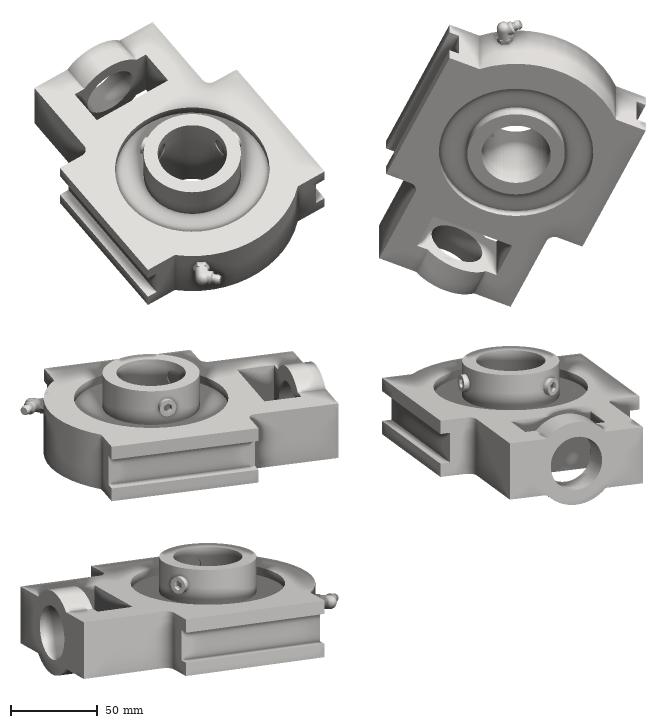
import cadquery as cq
import math


housing_height = 34.0
flange_length = 89.1
flange_width = 124.0
round_end_radius = 62.0
neck_end_x = -100.0
neck_width = 83.0
neck_fillet = 5.0

groove_width = 18.0
groove_depth = 6.0

boss_diameter = 50.0
boss_length = 17.0
boss_hole_diameter = 32.0
window_length = 22.5
window_width = 50.0

seat_diameter = 89.1
seat_recess_depth = 5.0
ring_diameter = 56.1
ring_bore_diameter = 40.0
ring_top_z = 33.0
ring_bottom_z = -19.0

set_screw_angles = (90.0, 210.0)
set_screw_diameter = 10.0
set_screw_z = 23.0
set_screw_outer_radius = 31.0
set_screw_tip_gap = 0.3
socket_across_flats = 5.0
socket_depth = 4.0

nipple_angle = -30.0
nipple_z = 7.0
nipple_hex_across_flats = 8.0
nipple_body_diameter = 8.0
nipple_hex_end_radius = 64.8
nipple_elbow_radius = 70.5
nipple_embedding = 3.0
spout_root_radius = 68.6
spout_angle = 37.5
spout_stem_diameter = 7.0
spout_collar_diameter = 7.6
spout_collar_start = 4.5
spout_collar_end = 5.7
spout_neck_diameter = 5.0
spout_neck_start = 6.5
spout_head_diameter = 5.8
spout_head_start = 8.8
spout_tip_diameter = 4.6
spout_length = 11.0


def radial_plane(angle, radius, z):
    """Plane facing outward from the Z axis at the given angle, radius and height."""
    direction = (math.cos(math.radians(angle)), math.sin(math.radians(angle)))
    origin = (radius * direction[0], radius * direction[1], z)
    tangent = (-direction[1], direction[0], 0)
    return cq.Plane(origin=origin, xDir=tangent, normal=(direction[0], direction[1], 0))


def hexagon_diameter(across_flats):
    """Circumscribed diameter of a regular hexagon."""
    return across_flats / math.cos(math.pi / 6)


def centred_block(length, width, height, x=0.0, y=0.0):
    return cq.Workplane("XY").box(length, width, height).translate((x, y, 0))


def make_housing_body():
    flange = centred_block(flange_length, flange_width, housing_height)
    neck = centred_block(-neck_end_x, neck_width, housing_height, x=neck_end_x / 2)
    plate = flange.union(neck)
    inner_corner_x = -flange_length / 2
    for side in (-1, 1):
        corner = cq.selectors.NearestToPointSelector((inner_corner_x, side * neck_width / 2, 0))
        plate = plate.edges("|Z").edges(corner).fillet(neck_fillet)

    disc = cq.Workplane("XY").circle(round_end_radius).extrude(housing_height / 2, both=True)
    front_half = centred_block(round_end_radius, flange_width, housing_height, x=round_end_radius / 2)
    return plate.union(disc.intersect(front_half))


def cut_guide_grooves(housing):
    for side in (-1, 1):
        groove_y = side * (flange_width - groove_depth) / 2
        housing = housing.cut(centred_block(flange_length, groove_depth, groove_width, y=groove_y))
    return housing


def add_screw_boss(housing):
    boss_plane = cq.Workplane("YZ", origin=(neck_end_x, 0, 0))
    window_x = neck_end_x + boss_length + window_length / 2
    window = centred_block(window_length, window_width, housing_height, x=window_x)
    boss = boss_plane.circle(boss_diameter / 2).extrude(boss_length)
    hole = boss_plane.circle(boss_hole_diameter / 2).extrude(boss_length)
    return housing.cut(window).union(boss).cut(hole)


def cut_seat_recesses(housing):
    for recess_bottom in (-housing_height / 2, housing_height / 2 - seat_recess_depth):
        recess = cq.Workplane("XY", origin=(0, 0, recess_bottom)).circle(seat_diameter / 2)
        housing = housing.cut(recess.extrude(seat_recess_depth))
    return housing


def add_inner_ring(housing):
    ring_plane = cq.Workplane("XY", origin=(0, 0, ring_bottom_z))
    ring_height = ring_top_z - ring_bottom_z
    ring = ring_plane.circle(ring_diameter / 2).extrude(ring_height)
    bore = ring_plane.circle(ring_bore_diameter / 2).extrude(ring_height)
    return housing.union(ring).cut(bore)


def add_set_screw(body, angle):
    tip_radius = ring_bore_diameter / 2 + set_screw_tip_gap
    axis_plane = cq.Workplane(radial_plane(angle, 0, set_screw_z))
    tip_plane = cq.Workplane(radial_plane(angle, tip_radius, set_screw_z))
    end_plane = cq.Workplane(radial_plane(angle, set_screw_outer_radius, set_screw_z))

    threaded_hole = axis_plane.circle(set_screw_diameter / 2).extrude(tip_radius)
    screw = tip_plane.circle(set_screw_diameter / 2).extrude(set_screw_outer_radius - tip_radius)
    socket_plane = end_plane.transformed(rotate=(0, 0, 90))
    socket = socket_plane.polygon(6, hexagon_diameter(socket_across_flats)).extrude(-socket_depth)
    return body.cut(threaded_hole).union(screw).cut(socket)


def make_spout():
    """Grease spout turned about its own axis, starting on the axis of the nipple barrel."""
    root = radial_plane(nipple_angle, spout_root_radius, nipple_z).origin
    direction = cq.Vector(math.cos(math.radians(spout_angle)), math.sin(math.radians(spout_angle)), 0)
    outward = cq.Vector(-direction.y, direction.x, 0)
    profile_plane = cq.Plane(origin=root, xDir=outward, normal=outward.cross(direction))
    profile = (
        cq.Workplane(profile_plane)
        .lineTo(spout_stem_diameter / 2, 0)
        .lineTo(spout_stem_diameter / 2, spout_collar_start)
        .lineTo(spout_collar_diameter / 2, spout_collar_start)
        .lineTo(spout_collar_diameter / 2, spout_collar_end)
        .lineTo(spout_neck_diameter / 2, spout_neck_start)
        .lineTo(spout_neck_diameter / 2, spout_head_start)
        .lineTo(spout_head_diameter / 2, spout_head_start)
        .lineTo(spout_tip_diameter / 2, spout_length)
        .lineTo(0, spout_length)
        .close()
    )
    return profile.revolve(360, (0, 0), (0, 1))


def add_grease_nipple(body):
    root_radius = round_end_radius - nipple_embedding
    root_plane = cq.Workplane(radial_plane(nipple_angle, root_radius, nipple_z))
    elbow = radial_plane(nipple_angle, nipple_elbow_radius, nipple_z).origin

    hexagon = root_plane.polygon(6, hexagon_diameter(nipple_hex_across_flats))
    hexagon = hexagon.extrude(nipple_hex_end_radius - root_radius)
    barrel = root_plane.circle(nipple_body_diameter / 2).extrude(nipple_elbow_radius - root_radius)
    ball = cq.Workplane("XY").sphere(nipple_body_diameter / 2).translate(elbow)
    return body.union(hexagon).union(barrel).union(ball).union(make_spout())


result = make_housing_body()
result = cut_guide_grooves(result)
result = add_screw_boss(result)
result = cut_seat_recesses(result)
result = add_inner_ring(result)
for screw_angle in set_screw_angles:
    result = add_set_screw(result, screw_angle)
result = add_grease_nipple(result)